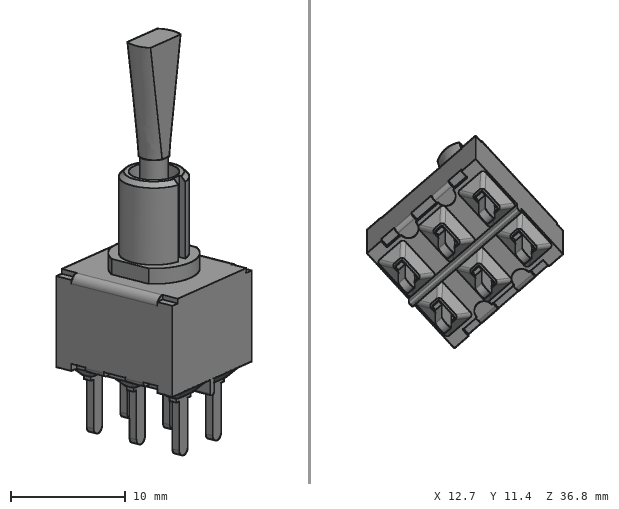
import cadquery as cq
import math

CASE_X = 12.7
CASE_Y = 11.45
CASE_BOTTOM = 6.62
CASE_TOP = 15.5

EDGE_INSET = 0.77
ROUNDED_LENGTH = 9.38
STEP_DEPTH = 0.45

RECESS_HEIGHT = 0.65
TAB_WIDTH = 2.0
TAB_SPACING = 4.35
TAB_RADIUS = 0.45
TAB_BOTTOM = 6.75
SCALLOP_DIAMETER = 1.73

COLLAR_DIAMETER = 7.98
COLLAR_FLATS = 6.88
COLLAR_TOP = 16.92
BUSHING_DIAMETER = 6.15
BUSHING_TOP = 24.45
BUSHING_CHAMFER = 0.45
BORE_DIAMETER = 4.4
KEYWAY_WIDTH = 1.0
KEYWAY_FLOOR_X = 2.4

FIN_THICKNESS = 0.55
FIN_BOTTOM = 5.15
FIN_RADIUS = 0.22

PIN_COLUMNS = 3
PIN_ROWS = 2
PIN_PITCH_X = 4.67
PIN_PITCH_Y = 4.8
PIN_THICKNESS = 0.77
PIN_WIDTH = 1.25
SHOULDER_WIDTH = 2.05
SHOULDER_BOTTOM = 5.15
MOUND_BOTTOM = 5.6
MOUND_TIP_X = 1.2
MOUND_TIP_Y = 2.45
MOUND_FLARE = 0.92
MOUND_EDGE_RADIUS = 0.45

BALL_CENTER_Z = COLLAR_TOP
SHAFT_DIAMETER = 2.5
PADDLE_BOTTOM = 25.95
PADDLE_TOP = 36.78
PADDLE_THICKNESS = 2.55
PADDLE_BASE_DIAMETER = 2.72
PADDLE_TOP_DIAMETER = 5.05


def block(size_x, size_y, bottom, top):
    """Box centred on the Z axis between two heights."""
    return (
        cq.Workplane("XY", origin=(0, 0, bottom))
        .rect(size_x, size_y)
        .extrude(top - bottom)
    )


def cylinder(diameter, bottom, top):
    """Cylinder on the Z axis between two heights."""
    return cq.Workplane("XY", origin=(0, 0, bottom)).circle(diameter / 2).extrude(top - bottom)


def ball():
    return cq.Workplane("XY", origin=(0, 0, BALL_CENTER_Z)).sphere(BORE_DIAMETER / 2)


def make_case():
    """Case with rounded long edges, stepped corners, wall recesses and tabs."""
    core = block(CASE_X, CASE_Y - 2 * EDGE_INSET, CASE_BOTTOM, CASE_TOP)
    walls = block(CASE_X, CASE_Y, CASE_BOTTOM, CASE_TOP - STEP_DEPTH)
    middle = block(ROUNDED_LENGTH, CASE_Y, CASE_BOTTOM + RECESS_HEIGHT, CASE_TOP)
    middle = middle.edges("|X and >Z").fillet(EDGE_INSET)
    ends = walls.cut(block(ROUNDED_LENGTH, CASE_Y, CASE_BOTTOM, CASE_TOP))
    case = ends.union(middle).union(core)
    tab = block(TAB_WIDTH, CASE_Y, TAB_BOTTOM, CASE_BOTTOM + RECESS_HEIGHT)
    tab = tab.edges("|X and <Z").fillet(TAB_RADIUS)
    scallop = cylinder(SCALLOP_DIAMETER, CASE_BOTTOM, TAB_BOTTOM)
    recess_face_y = CASE_Y / 2 - EDGE_INSET
    for x in (-TAB_SPACING / 2, TAB_SPACING / 2):
        case = case.union(tab.translate((x, 0, 0)))
        for y in (-recess_face_y, recess_face_y):
            case = case.cut(scallop.translate((x, y, 0)))
    return case


def make_collar():
    flats = block(COLLAR_DIAMETER, COLLAR_FLATS, CASE_TOP, COLLAR_TOP)
    return cylinder(COLLAR_DIAMETER, CASE_TOP, COLLAR_TOP).intersect(flats)


def make_bushing():
    """Chamfered bushing with a keyway on its +X side."""
    bushing = cylinder(BUSHING_DIAMETER, COLLAR_TOP, BUSHING_TOP)
    bushing = bushing.faces(">Z").chamfer(BUSHING_CHAMFER)
    keyway = block(BUSHING_DIAMETER, KEYWAY_WIDTH, COLLAR_TOP, BUSHING_TOP)
    return bushing.cut(keyway.translate((KEYWAY_FLOOR_X + BUSHING_DIAMETER / 2, 0, 0)))


def make_fin():
    fin = block(CASE_X, FIN_THICKNESS, FIN_BOTTOM, CASE_BOTTOM)
    return fin.edges("|X and <Z").fillet(FIN_RADIUS)


def make_terminal():
    """One pin with its shoulder and the sealing mound around its root."""
    flare_angle = math.degrees(math.atan2(MOUND_FLARE, CASE_BOTTOM - MOUND_BOTTOM))
    mound = (
        cq.Workplane("XY", origin=(0, 0, CASE_BOTTOM))
        .rect(MOUND_TIP_X + 2 * MOUND_FLARE, MOUND_TIP_Y + 2 * MOUND_FLARE)
        .extrude(MOUND_BOTTOM - CASE_BOTTOM, taper=flare_angle)
        .edges("not #Z")
        .fillet(MOUND_EDGE_RADIUS)
    )
    shoulder = block(PIN_THICKNESS, SHOULDER_WIDTH, SHOULDER_BOTTOM, MOUND_BOTTOM)
    tip_radius = PIN_WIDTH / 2
    pin = block(PIN_THICKNESS, PIN_WIDTH, tip_radius, SHOULDER_BOTTOM)
    tip = (
        cq.Workplane("YZ", origin=(-PIN_THICKNESS / 2, 0, tip_radius))
        .circle(tip_radius)
        .extrude(PIN_THICKNESS)
    )
    return mound.union(shoulder).union(pin).union(tip)


def make_housing():
    """Case, collar, bushing, fin and terminals as one solid with a ball socket."""
    housing = make_case().union(make_collar()).union(make_bushing()).union(make_fin())
    terminal = make_terminal()
    for column in range(PIN_COLUMNS):
        for row in range(PIN_ROWS):
            x = (column - (PIN_COLUMNS - 1) / 2) * PIN_PITCH_X
            y = (row - (PIN_ROWS - 1) / 2) * PIN_PITCH_Y
            housing = housing.union(terminal.translate((x, y, 0)))
    bore = cylinder(BORE_DIAMETER, BALL_CENTER_Z, BUSHING_TOP)
    return housing.cut(bore).cut(ball())


def paddle_section(diameter, height):
    """Outline of a circle cut flat on its two X sides."""
    half_x = PADDLE_THICKNESS / 2
    radius = diameter / 2
    half_y = math.sqrt(radius**2 - half_x**2)
    outline = (
        cq.Workplane("XY", origin=(0, 0, height))
        .moveTo(half_x, -half_y)
        .lineTo(half_x, half_y)
        .threePointArc((0, radius), (-half_x, half_y))
        .lineTo(-half_x, -half_y)
        .threePointArc((0, -radius), (half_x, -half_y))
        .close()
    )
    return outline.val()


def make_lever():
    """Ball-ended lever whose flat-sided paddle widens towards the top."""
    shaft = cylinder(SHAFT_DIAMETER, BALL_CENTER_Z, PADDLE_BOTTOM)
    base = paddle_section(PADDLE_BASE_DIAMETER, PADDLE_BOTTOM)
    top = paddle_section(PADDLE_TOP_DIAMETER, PADDLE_TOP)
    paddle = cq.Workplane(cq.Solid.makeLoft([base, top], True))
    return ball().union(shaft).union(paddle)


housing = make_housing()
lever = make_lever()
result = cq.Compound.makeCompound([housing.solids().val(), lever.solids().val()])